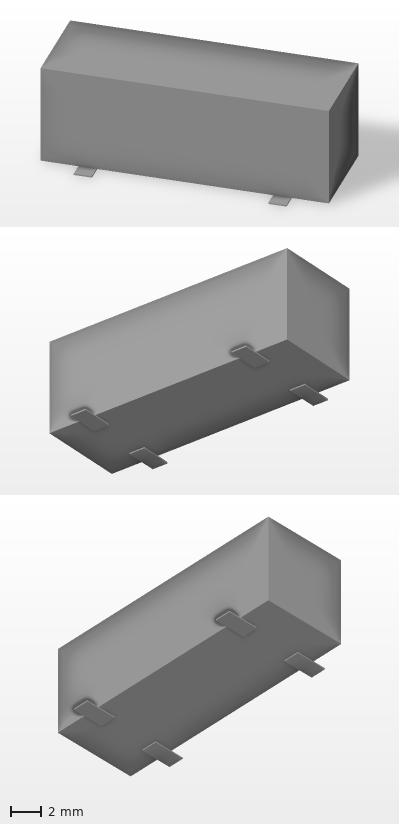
import cadquery as cq

total_height = 7.1
lead_span = 8.82

housing_length = 19.91
housing_width = 6.73

lead_thickness = 0.1
lead_width = 1.25
lead_length = 2.5
lead_pitch = 13.44

housing_height = total_height - lead_thickness
lead_row_offset = (lead_span - lead_length) / 2


def make_housing():
    """Plain block resting on top of the leads."""
    return cq.Workplane("XY").box(
        housing_length, housing_width, housing_height, centered=(True, True, False)
    )


def make_lead(x, y):
    """Flat strip whose top face touches the underside of the housing."""
    strip = cq.Workplane("XY").box(
        lead_width, lead_length, lead_thickness, centered=(True, True, False)
    )
    return strip.translate((x, y, -lead_thickness))


housing = make_housing()

leads = []
for x in (-lead_pitch / 2, lead_pitch / 2):
    for y in (-lead_row_offset, lead_row_offset):
        leads.append(make_lead(x, y).val())

result = cq.Compound.makeCompound([housing.val(), *leads])